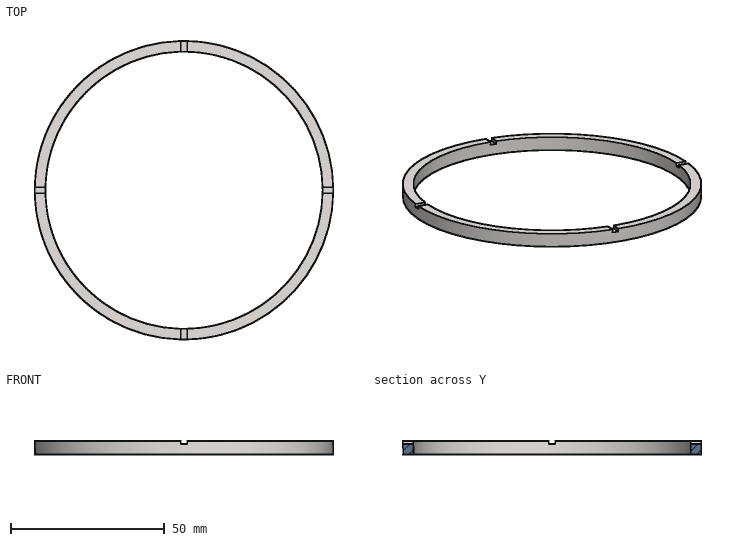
import cadquery as cq

outer_diameter = 97.0
inner_diameter = 90.0
ring_height = 4.5

notch_width = 2.0
notch_depth = 1.0
notch_axis_angles = (0, 90)


def make_ring():
    return (
        cq.Workplane("XY")
        .circle(outer_diameter / 2)
        .circle(inner_diameter / 2)
        .extrude(ring_height)
    )


def make_notch_cutter(angle):
    """Bar across the full diameter, sunk into the top face."""
    return (
        cq.Workplane("XY", origin=(0, 0, ring_height - notch_depth))
        .rect(outer_diameter, notch_width)
        .extrude(notch_depth)
        .rotate((0, 0, 0), (0, 0, 1), angle)
    )


result = make_ring()
for axis_angle in notch_axis_angles:
    result = result.cut(make_notch_cutter(axis_angle))